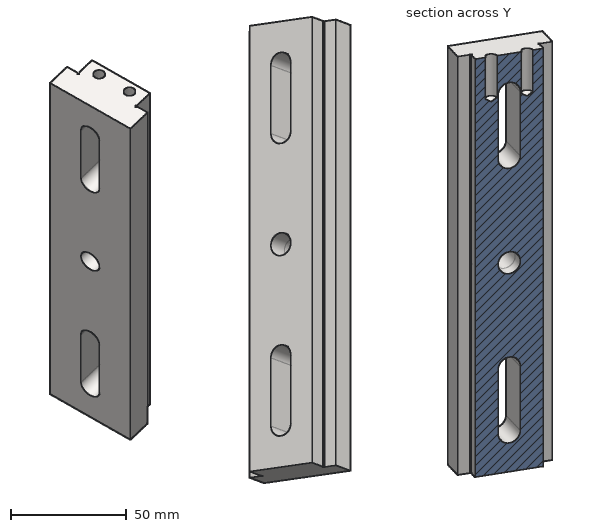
import cadquery as cq
import math

length = 198.1
base_width = 44.0
thickness = 21.8
base_thickness = 12.0
tongue_width = 31.7

relief_radius = 0.5

opening_diameter = 10.1
slot_length = 40.5
slot_offset = 65.0

end_hole_diameter = 5.2
end_hole_spacing = 16.6
end_hole_depth = 19.8
drill_point_angle = 118.0
end_hole_setback = 4.8

front_y = -thickness / 2
back_y = thickness / 2
shoulder_y = front_y + base_thickness


def make_bar():
    """T-shaped section extruded along Z, centred on the origin."""
    base = cq.Workplane("XY").box(base_width, base_thickness, length)
    base = base.translate((0, front_y + base_thickness / 2, 0))
    tongue = cq.Workplane("XY").box(tongue_width, thickness, length)
    return base.union(tongue)


def make_relief_grooves():
    """Small full-length round grooves in the inner corners beside the tongue."""
    corner_x = tongue_width / 2
    return (
        cq.Workplane("XY")
        .pushPoints([(-corner_x, shoulder_y), (corner_x, shoulder_y)])
        .circle(relief_radius)
        .extrude(length / 2, both=True)
    )


def make_through_openings():
    """Central round hole and two vertical slots, all along Y."""
    hole = cq.Workplane("XZ").circle(opening_diameter / 2).extrude(thickness, both=True)
    slots = (
        cq.Workplane("XZ")
        .pushPoints([(0, -slot_offset), (0, slot_offset)])
        .slot2D(slot_length, opening_diameter, 90)
        .extrude(thickness, both=True)
    )
    return hole.union(slots)


def make_end_holes():
    """Pair of blind holes going down from the top end, with conical drill points."""
    radius = end_hole_diameter / 2
    point_height = radius / math.tan(math.radians(drill_point_angle / 2))
    drill = (
        cq.Workplane("XZ")
        .lineTo(radius, 0)
        .lineTo(radius, -end_hole_depth)
        .lineTo(0, -end_hole_depth - point_height)
        .close()
        .revolve(360, (0, 0), (0, 1))
    )
    hole_x = end_hole_spacing / 2
    hole_y = back_y - end_hole_setback
    left_hole = drill.translate((-hole_x, hole_y, length / 2))
    right_hole = drill.translate((hole_x, hole_y, length / 2))
    return left_hole.union(right_hole)


result = (
    make_bar()
    .cut(make_relief_grooves())
    .cut(make_through_openings())
    .cut(make_end_holes())
)